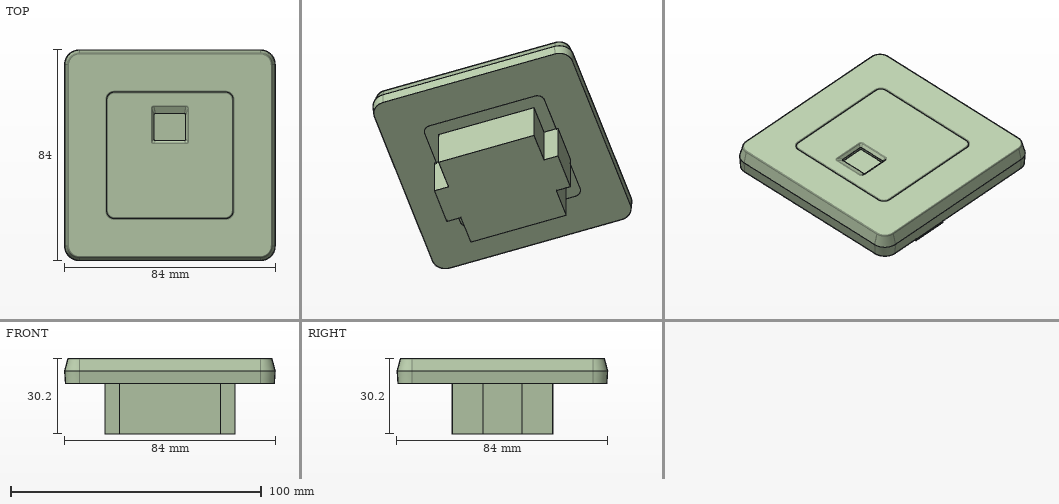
import cadquery as cq
import math


frame_side = 84.0
frame_corner_radius = 5.9
lower_height = 5.0
upper_height = 5.0
frame_height = lower_height + upper_height
front_inset = 1.35
back_inset = 0.3

edge_radius = 0.3

panel_side = 50.4
panel_corner_radius = 3.0

block_side = 40.15
block_depth = 20.2
lug_span = 51.9
lug_width = 15.45

mouth_length_x = 14.45
mouth_length_y = 14.8
mouth_center_y = 12.2
mouth_depth = 1.4
mouth_corner_radius = 0.8
side_slope_run = 0.9
top_slope_run = 2.9
bottom_slope_run = 1.1
well_length_x = mouth_length_x - 2 * side_slope_run
well_length_y = mouth_length_y - top_slope_run - bottom_slope_run
well_center_y = mouth_center_y + (bottom_slope_run - top_slope_run) / 2
well_depth = 1.0
well_corner_radius = 0.5


def rounded_rectangle(length_x, length_y, radius):
    return cq.Sketch().rect(length_x, length_y).vertices().fillet(radius)


def tapered_square(side, radius, height, inset):
    """Rounded square extruded by height, each side leaning in by inset."""
    lean = math.degrees(math.atan2(inset, abs(height)))
    outline = rounded_rectangle(side, side, radius)
    return cq.Workplane("XY").placeSketch(outline).extrude(height, taper=lean)


def make_panel():
    outline = rounded_rectangle(panel_side, panel_side, panel_corner_radius)
    return cq.Workplane("XY").placeSketch(outline).extrude(frame_height)


def make_frame():
    upper = tapered_square(frame_side, frame_corner_radius, upper_height, front_inset)
    lower = tapered_square(frame_side, frame_corner_radius, -lower_height, back_inset)
    outside = upper.union(lower).translate((0, 0, lower_height))
    return outside.cut(make_panel()).faces(">Z").edges().fillet(edge_radius)


def make_port():
    """Volume removed from the panel for the port."""
    mouth = rounded_rectangle(mouth_length_x, mouth_length_y, mouth_corner_radius)
    well = rounded_rectangle(well_length_x, well_length_y, well_corner_radius)
    mouth_place = cq.Location(cq.Vector(0, mouth_center_y, frame_height))
    well_place = cq.Location(cq.Vector(0, well_center_y, frame_height - mouth_depth))
    funnel = cq.Workplane("XY").placeSketch(mouth.moved(mouth_place), well.moved(well_place)).loft()
    shaft = cq.Workplane("XY").placeSketch(well.moved(well_place)).extrude(-well_depth)
    return funnel.union(shaft)


def make_insert():
    block = cq.Workplane("XY").rect(block_side, block_side).extrude(-block_depth)
    lugs = cq.Workplane("XY").rect(lug_span, lug_width).extrude(-block_depth)
    front = make_panel().cut(make_port()).faces(">Z").edges().fillet(edge_radius)
    return front.union(block).union(lugs)


frame = make_frame()
insert = make_insert()

result = cq.Compound.makeCompound([frame.val(), insert.val()])